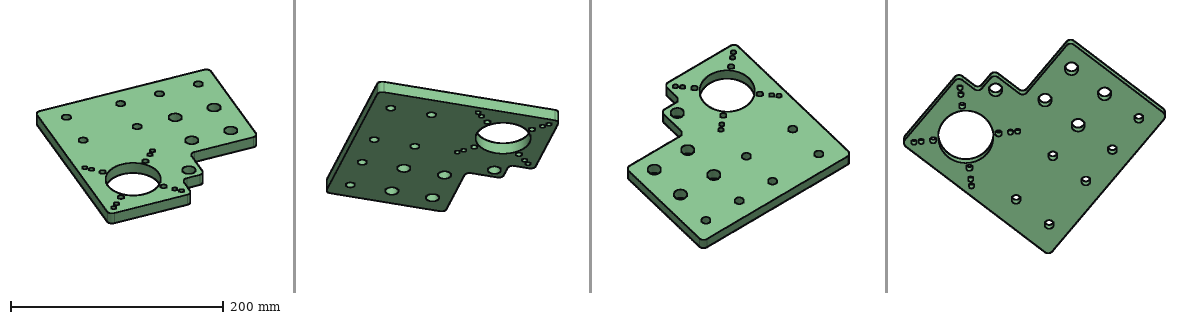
import cadquery as cq

LENGTH = 178.0
WIDTH = 178.3
THICKNESS = 12.0
CORNER_RADIUS = 5.0

UPPER_STEP_X = 117.7
UPPER_STEP_Y = 108.2
LOWER_STEP_X = 153.3
LOWER_STEP_Y = 85.0

GRID_PITCH = 40.0
SMALL_HOLE_DIAMETER = 8.5
SMALL_GRID_X = 19.0
SMALL_GRID_Y = 79.5
LOWEST_ROW_Y = 24.0
LARGE_HOLE_DIAMETER = 12.5
LARGE_GRID_X = 59.5
LARGE_GRID_Y = 118.2
STEP_HOLE_CENTER = (142.3, 97.0)

MOTOR_CENTER = (135.0, 43.0)
MOTOR_BORE_DIAMETER = 52.0
INNER_SCREW_OFFSET = 22.0
MIDDLE_SCREW_OFFSET = 30.0
OUTER_SCREW_OFFSET = 34.8
INNER_SCREW_DIAMETER = 6.0
OUTER_SCREW_DIAMETER = 5.0


def make_plate():
    outline = [
        (0, 0),
        (LENGTH, 0),
        (LENGTH, LOWER_STEP_Y),
        (LOWER_STEP_X, LOWER_STEP_Y),
        (LOWER_STEP_X, UPPER_STEP_Y),
        (UPPER_STEP_X, UPPER_STEP_Y),
        (UPPER_STEP_X, WIDTH),
        (0, WIDTH),
    ]
    plate = cq.Workplane("XY").polyline(outline).close().extrude(THICKNESS)
    return plate.edges("|Z").fillet(CORNER_RADIUS)


def through_holes(centers, diameter):
    """Cylinders that cut through the full plate thickness."""
    return cq.Workplane("XY").pushPoints(centers).circle(diameter / 2).extrude(THICKNESS)


def diagonal_centers(offset):
    """Four points around the motor centre, one on each diagonal."""
    center_x, center_y = MOTOR_CENTER
    return [
        (center_x + side_x * offset, center_y + side_y * offset)
        for side_x in (-1, 1)
        for side_y in (-1, 1)
    ]


small_columns = [SMALL_GRID_X, SMALL_GRID_X + GRID_PITCH]
small_centers = [(x, y) for x in small_columns for y in (LOWEST_ROW_Y, SMALL_GRID_Y)]
small_centers += [(SMALL_GRID_X, SMALL_GRID_Y + row * GRID_PITCH) for row in (1, 2)]

large_centers = [
    (LARGE_GRID_X + column * GRID_PITCH, LARGE_GRID_Y + row * GRID_PITCH)
    for column in range(2)
    for row in range(2)
]
large_centers.append(STEP_HOLE_CENTER)

outer_screw_centers = diagonal_centers(MIDDLE_SCREW_OFFSET) + diagonal_centers(OUTER_SCREW_OFFSET)

result = (
    make_plate()
    .cut(through_holes(small_centers, SMALL_HOLE_DIAMETER))
    .cut(through_holes(large_centers, LARGE_HOLE_DIAMETER))
    .cut(through_holes([MOTOR_CENTER], MOTOR_BORE_DIAMETER))
    .cut(through_holes(diagonal_centers(INNER_SCREW_OFFSET), INNER_SCREW_DIAMETER))
    .cut(through_holes(outer_screw_centers, OUTER_SCREW_DIAMETER))
)